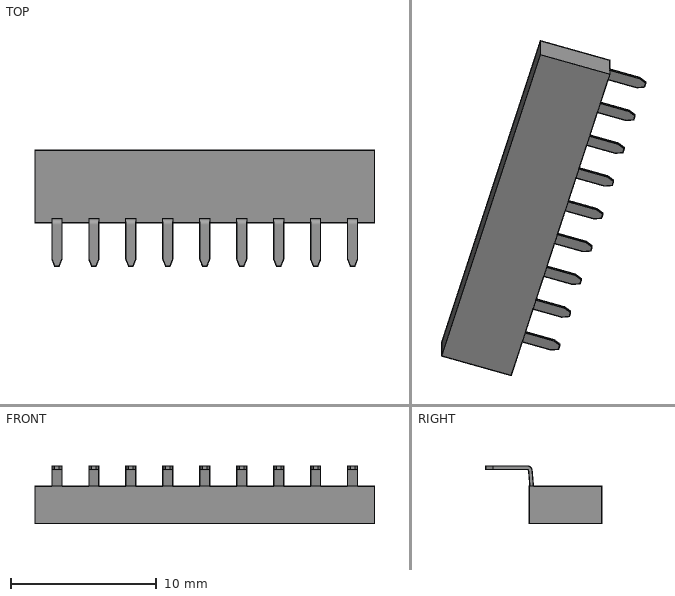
import cadquery as cq
import math

body_length = 23.35
body_height = 2.57
overall_depth = 8.0
overall_height = 3.97

pin_count = 9
row_end_margin = 1.52
pin_width = 0.7
pin_thickness = 0.25
pin_reach = 3.0
leg_setback = 0.05
leg_lean = 5.0
bend_inner_radius = 0.1
tip_length = 0.5
tip_width = 0.3

pin_pitch = (body_length - 2 * row_end_margin) / (pin_count - 1)
body_depth = overall_depth - pin_reach
bend_outer_radius = bend_inner_radius + pin_thickness


def make_body():
    """Plain housing block with its front face at Y = 0 and its base at Z = 0."""
    return cq.Workplane("XY").box(body_length, body_depth, body_height, centered=(True, False, False))


def make_bent_strip():
    """Strip that rises from the housing, bends forward and runs level to the tip."""
    lean_slope = math.tan(math.radians(leg_lean))
    foot_thickness = pin_thickness / math.cos(math.radians(leg_lean))
    inner_corner_z = overall_height - pin_thickness
    foot_front_y = leg_setback
    foot_back_y = leg_setback + foot_thickness
    inner_corner_y = foot_front_y - lean_slope * (inner_corner_z - body_height)
    outer_corner_y = foot_back_y - lean_slope * (overall_height - body_height)

    strip = (
        cq.Workplane("YZ")
        .moveTo(foot_front_y, body_height)
        .lineTo(inner_corner_y, inner_corner_z)
        .lineTo(-pin_reach, inner_corner_z)
        .lineTo(-pin_reach, overall_height)
        .lineTo(outer_corner_y, overall_height)
        .lineTo(foot_back_y, body_height)
        .close()
        .extrude(pin_width / 2, both=True)
    )
    inner_corner = cq.selectors.NearestToPointSelector((0, inner_corner_y, inner_corner_z))
    outer_corner = cq.selectors.NearestToPointSelector((0, outer_corner_y, overall_height))
    strip = strip.edges(inner_corner).fillet(bend_inner_radius)
    return strip.edges(outer_corner).fillet(bend_outer_radius)


def make_pin():
    """Bent strip with both sides of its front end tapered to a narrow tip."""
    plan_outline = (
        cq.Workplane("XY")
        .moveTo(-pin_width / 2, body_depth)
        .lineTo(-pin_width / 2, tip_length - pin_reach)
        .lineTo(-tip_width / 2, -pin_reach)
        .lineTo(tip_width / 2, -pin_reach)
        .lineTo(pin_width / 2, tip_length - pin_reach)
        .lineTo(pin_width / 2, body_depth)
        .close()
        .extrude(overall_height)
    )
    return make_bent_strip().intersect(plan_outline)


result = make_body()
pin = make_pin()
first_pin_x = row_end_margin - body_length / 2
for index in range(pin_count):
    result = result.union(pin.translate((first_pin_x + index * pin_pitch, 0, 0)))